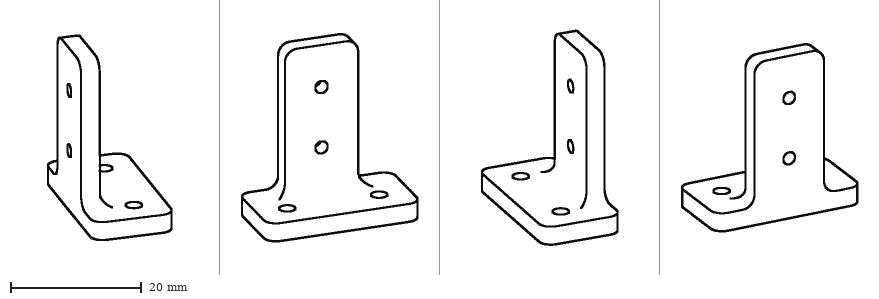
import cadquery as cq

base_width = 25.0
base_depth = 13.0
total_height = 27.0
thickness = 3.0
upright_width = 12.0
corner_radius = 2.0

upright_hole_diameter = 2.0
upright_hole_heights = (10.0, 20.0)
base_hole_diameter = 2.5
base_hole_spacing = 15.0
base_hole_y = 8.0

half_upright = upright_width / 2
half_foot = half_upright + corner_radius
foot_depth = thickness + corner_radius
flare_top = thickness + corner_radius


def make_base():
    """Flat plate with rounded vertical corners."""
    plate = cq.Workplane("XY").box(base_width, base_depth, thickness, centered=(True, False, False))
    return plate.edges("|Z").fillet(corner_radius)


def make_upright():
    """Upright whose foot flares on three sides, the flares meeting in mitres."""
    width_profile = (
        cq.Workplane("XZ")
        .moveTo(-half_foot, 0)
        .lineTo(half_foot, 0)
        .lineTo(half_foot, thickness)
        .radiusArc((half_upright, flare_top), corner_radius)
        .lineTo(half_upright, total_height)
        .lineTo(-half_upright, total_height)
        .lineTo(-half_upright, flare_top)
        .radiusArc((-half_foot, thickness), corner_radius)
        .close()
        .extrude(-foot_depth)
        .edges("|Y and >Z")
        .fillet(corner_radius)
    )
    depth_profile = (
        cq.Workplane("YZ")
        .lineTo(foot_depth, 0)
        .lineTo(foot_depth, thickness)
        .radiusArc((thickness, flare_top), corner_radius)
        .lineTo(thickness, total_height)
        .lineTo(0, total_height)
        .close()
        .extrude(half_foot, both=True)
    )
    return width_profile.intersect(depth_profile)


def make_upright_holes():
    """Pins along Y that cut the holes through the upright."""
    centres = [(0, height) for height in upright_hole_heights]
    return cq.Workplane("XZ").pushPoints(centres).circle(upright_hole_diameter / 2).extrude(-thickness)


def make_base_holes():
    """Pins along Z that cut the holes through the base."""
    centres = [(side * base_hole_spacing / 2, base_hole_y) for side in (-1, 1)]
    return cq.Workplane("XY").pushPoints(centres).circle(base_hole_diameter / 2).extrude(thickness)


result = make_base().union(make_upright()).cut(make_upright_holes()).cut(make_base_holes())